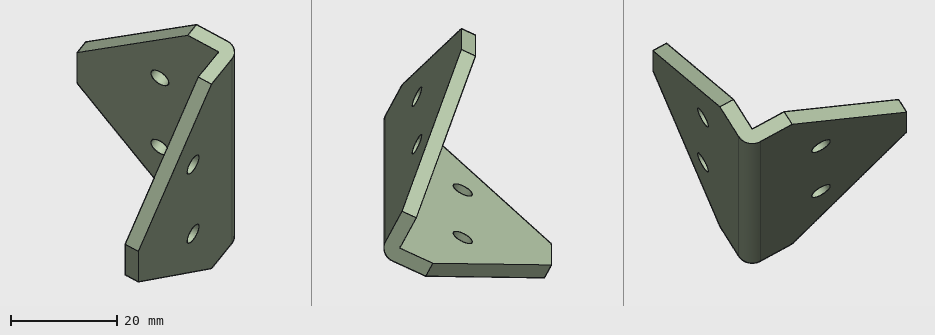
import cadquery as cq

height = 60.0
leg_length = 35.0
thickness = 3.0
taper = 25.0
hole_diameter = 4.0
hole_offset = 16.25
hole_spacing = 22.5


def leg():
    """Leg along -X, outer corner at the origin, outer face on Y = 0."""
    half_height = height / 2
    end_half_height = half_height - taper
    outline = [
        (0, -half_height),
        (taper - leg_length, -half_height),
        (-leg_length, -end_half_height),
        (-leg_length, end_half_height),
        (taper - leg_length, half_height),
        (0, half_height),
    ]
    plate = cq.Workplane("XZ").polyline(outline).close().extrude(thickness)
    holes = (
        cq.Workplane("XZ")
        .pushPoints([(-hole_offset, side * hole_spacing / 2) for side in (-1, 1)])
        .circle(hole_diameter / 2)
        .extrude(thickness)
    )
    return plate.cut(holes)


back_leg = leg()
side_leg = leg().rotate((0, 0, 0), (0, 0, 1), 90).mirror("YZ")

bracket = back_leg.union(side_leg)
bracket = bracket.edges("|Z and >X and >Y").fillet(thickness)

result = bracket.translate((leg_length / 2, leg_length / 2, 0))